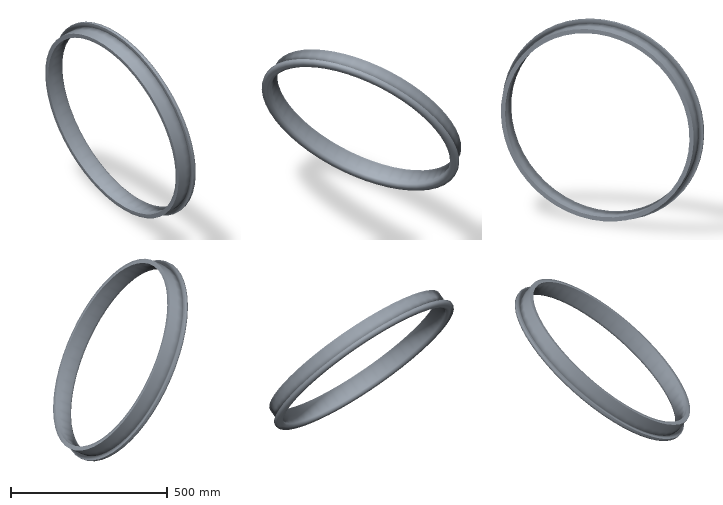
import cadquery as cq

flange_diameter = 688.0
sleeve_diameter = 658.5
bore_diameter = 629.5
total_length = 65.0
flange_thickness = 15.0
flange_land = 5.15
edge_radius = flange_thickness - flange_land

sleeve_length = total_length - flange_thickness


def ring_section():
    """Half section in the YZ plane: first coordinate along Y, second radial."""
    bore_radius = bore_diameter / 2
    sleeve_radius = sleeve_diameter / 2
    flange_radius = flange_diameter / 2
    return (
        cq.Workplane("YZ")
        .moveTo(0, bore_radius)
        .lineTo(0, sleeve_radius)
        .lineTo(sleeve_length, sleeve_radius)
        .lineTo(sleeve_length, flange_radius)
        .lineTo(sleeve_length + flange_land, flange_radius)
        .radiusArc((total_length, flange_radius - edge_radius), edge_radius)
        .lineTo(total_length, bore_radius + edge_radius)
        .radiusArc((total_length - edge_radius, bore_radius), edge_radius)
        .close()
    )


result = ring_section().revolve(360, (0, 0, 0), (1, 0, 0))